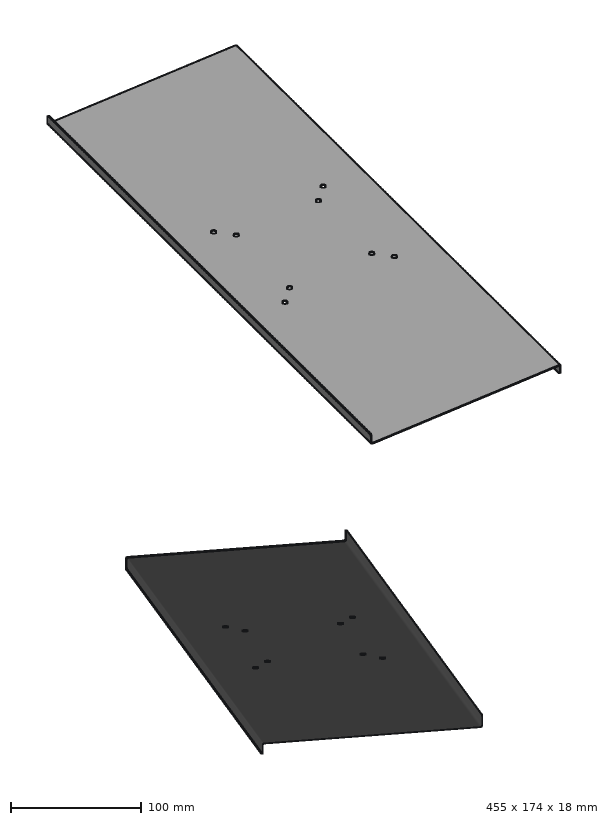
import cadquery as cq

length = 455.0
width = 174.0
height = 18.0

thickness = 1.0
inner_bend_radius = 1.0
outer_bend_radius = inner_bend_radius + thickness
flange_corner_radius = 2.0

hole_pitches = (100.0, 75.0)
hole_diameter = 4.2


def box(size_x, size_y, size_z, y_centre, z_centre):
    return cq.Workplane("XY").box(size_x, size_y, size_z).translate((0, y_centre, z_centre))


def make_folded_sheet():
    """Flat panel with a flange up along -Y and a flange down along +Y."""
    flange_y = (width - thickness) / 2
    flange_height = (height + thickness) / 2
    flange_z = (height - flange_height) / 2
    sheet = box(length, width, thickness, 0, 0)
    for side in (-1, 1):
        flange = box(length, thickness, flange_height, side * flange_y, -side * flange_z)
        free_edge = "<Z" if side > 0 else ">Z"
        flange = flange.faces(free_edge).edges("|Y").fillet(flange_corner_radius)
        sheet = sheet.union(flange)
    return sheet


def round_bends(sheet):
    """Round the outside and the inside of both bends."""
    inner_y = width / 2 - thickness
    half_thickness = thickness / 2
    for side in (-1, 1):
        outer_edge = cq.NearestToPointSelector((0, side * width / 2, side * half_thickness))
        inner_edge = cq.NearestToPointSelector((0, side * inner_y, -side * half_thickness))
        sheet = sheet.edges(outer_edge).fillet(outer_bend_radius)
        sheet = sheet.edges(inner_edge).fillet(inner_bend_radius)
    return sheet


def drill_holes(sheet):
    for pitch in hole_pitches:
        sheet = (
            sheet.faces(">Z").workplane(origin=(0, 0, 0))
            .rarray(pitch, pitch, 2, 2)
            .circle(hole_diameter / 2)
            .cutThruAll()
        )
    return sheet


result = drill_holes(round_bends(make_folded_sheet()))